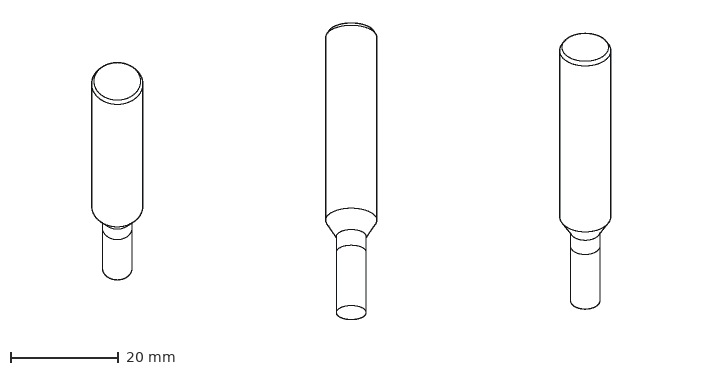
import cadquery as cq
import math

total_length = 58.7
shank_diameter = 9.53
neck_diameter = 5.56

head_length = 12.7
neck_length = 3.3
taper_half_angle = 30.0

chamfer_height = 0.76
chamfer_half_angle = 30.0

shank_radius = shank_diameter / 2
neck_radius = neck_diameter / 2
taper_length = (shank_radius - neck_radius) / math.tan(math.radians(taper_half_angle))
taper_bottom = head_length + neck_length
taper_top = taper_bottom + taper_length
chamfer_bottom = total_length - chamfer_height
end_radius = shank_radius - chamfer_height * math.tan(math.radians(chamfer_half_angle))


def make_shank():
    """Turned body: neck, conical taper, straight shank and chamfered end."""
    half_profile = [
        (0, head_length),
        (neck_radius, head_length),
        (neck_radius, taper_bottom),
        (shank_radius, taper_top),
        (shank_radius, chamfer_bottom),
        (end_radius, total_length),
        (0, total_length),
    ]
    return cq.Workplane("XZ").polyline(half_profile).close().revolve(360, (0, 0), (0, 1))


def make_cutting_head():
    """Plain cylindrical head that butts against the end of the neck."""
    return cq.Workplane("XY").circle(neck_radius).extrude(head_length)


shank = make_shank()
cutting_head = make_cutting_head()

result = cq.Compound.makeCompound([shank.val(), cutting_head.val()])